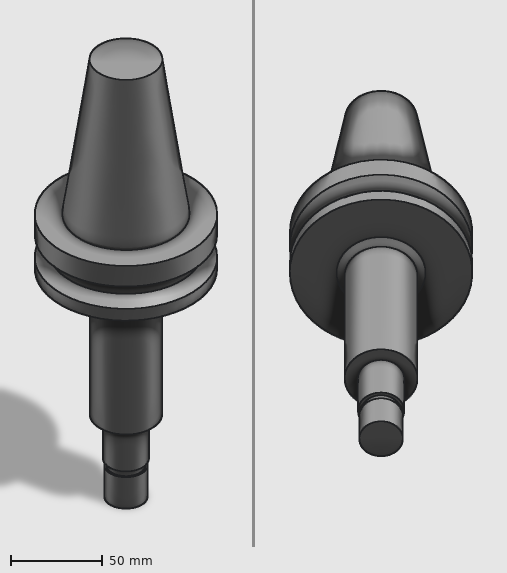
import cadquery as cq

tip_diameter = 24.0
neck_diameter = 21.5
pilot_diameter = 25.5
shaft_diameter = 40.0
flange_diameter = 100.0
groove_diameter = 85.0
taper_large_diameter = 69.7
taper_small_diameter = 40.0

tip_top = 21.0
neck_top = 25.5
pilot_top = 55.2
flange_bottom = 152.0
lower_rim_top = 160.0
groove_floor_bottom = 164.5
groove_floor_top = 170.5
upper_rim_bottom = 174.8
flange_top = 188.5
taper_start = 190.0
overall_height = 291.8

flare_height = 3.0
flare_width = 4.5


def cylinder(diameter, bottom, top):
    """Vertical cylinder on the part axis."""
    return cq.Workplane("XY").workplane(offset=bottom).circle(diameter / 2).extrude(top - bottom)


def cone(bottom_diameter, top_diameter, bottom, top):
    """Truncated vertical cone on the part axis."""
    return (
        cq.Workplane("XY")
        .workplane(offset=bottom)
        .circle(bottom_diameter / 2)
        .workplane(offset=top - bottom)
        .circle(top_diameter / 2)
        .loft(ruled=True)
    )


def make_tool_end():
    """Tip, relief neck, pilot and long shaft, with the flare under the flange."""
    flare_bottom = flange_bottom - flare_height
    flare_diameter = shaft_diameter + 2 * flare_width
    return (
        cylinder(tip_diameter, 0, tip_top)
        .union(cylinder(neck_diameter, tip_top, neck_top))
        .union(cylinder(pilot_diameter, neck_top, pilot_top))
        .union(cylinder(shaft_diameter, pilot_top, flare_bottom))
        .union(cone(shaft_diameter, flare_diameter, flare_bottom, flange_bottom))
    )


def make_flange():
    """Flange with a V-sided, flat-bottomed gripper groove around its rim."""
    return (
        cylinder(flange_diameter, flange_bottom, lower_rim_top)
        .union(cone(flange_diameter, groove_diameter, lower_rim_top, groove_floor_bottom))
        .union(cylinder(groove_diameter, groove_floor_bottom, groove_floor_top))
        .union(cone(groove_diameter, flange_diameter, groove_floor_top, upper_rim_bottom))
        .union(cylinder(flange_diameter, upper_rim_bottom, flange_top))
    )


def make_taper_shank():
    """Short cylindrical collar on the flange, followed by the spindle taper."""
    collar = cylinder(taper_large_diameter, flange_top, taper_start)
    taper = cone(taper_large_diameter, taper_small_diameter, taper_start, overall_height)
    return collar.union(taper)


result = make_tool_end().union(make_flange()).union(make_taper_shank())